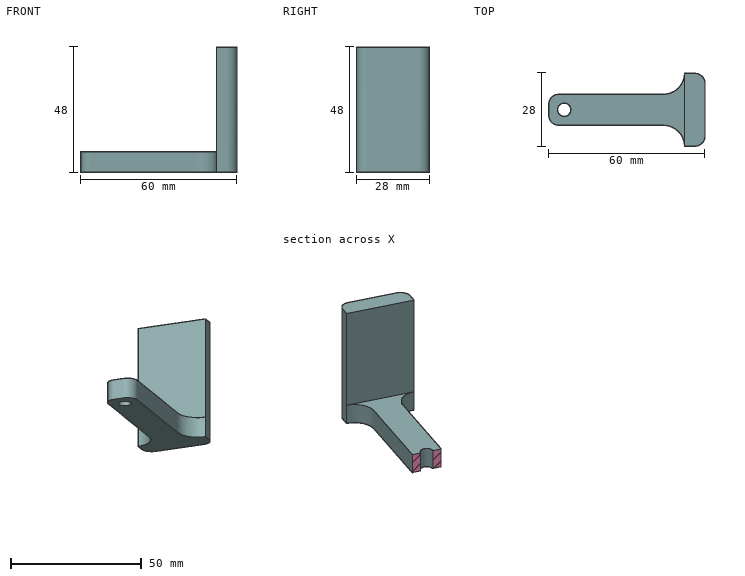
import cadquery as cq

length = 60.0
plate_width = 28.0
height = 48.0

thickness = 8.0
arm_width = 12.0
corner_radius = 4.0
hole_diameter = 5.0

plate_front_x = length - thickness
flare_radius = (plate_width - arm_width) / 2
hole_x = arm_width / 2


def make_plate():
    """Upright plate with rounded vertical edges on its back face."""
    plate = cq.Workplane("XY").box(thickness, plate_width, height, centered=(False, True, False))
    plate = plate.edges("|Z and >X").fillet(corner_radius)
    return plate.translate((plate_front_x, 0, 0))


def make_arm():
    """Arm with a rounded free end, flaring to the full plate width."""
    half_arm = arm_width / 2
    half_plate = plate_width / 2
    flare_start_x = plate_front_x - flare_radius
    arm = (
        cq.Workplane("XY")
        .moveTo(0, -half_arm)
        .lineTo(flare_start_x, -half_arm)
        .radiusArc((plate_front_x, -half_plate), flare_radius)
        .lineTo(plate_front_x, half_plate)
        .radiusArc((flare_start_x, half_arm), flare_radius)
        .lineTo(0, half_arm)
        .close()
        .extrude(thickness)
    )
    return arm.edges("|Z and <X").fillet(corner_radius)


def make_hole():
    """Vertical through hole near the free end of the arm."""
    return cq.Workplane("XY").center(hole_x, 0).circle(hole_diameter / 2).extrude(thickness)


result = make_plate().union(make_arm()).cut(make_hole())